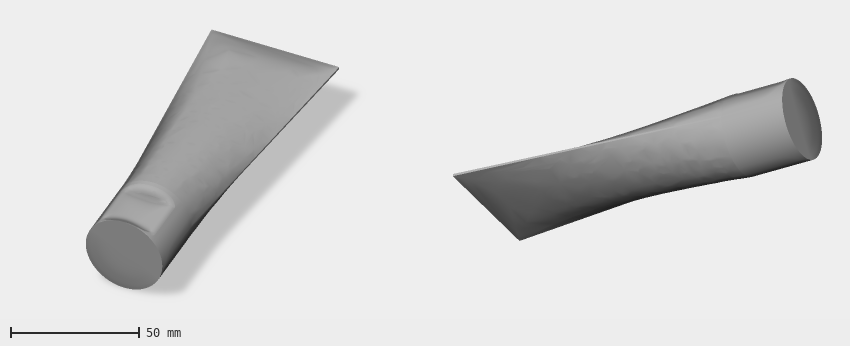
import cadquery as cq
import math

cap_diameter = 33.0
cap_radius = cap_diameter / 2
cap_length = 27.0

overall_length = 140.0
crimp_width = 55.0
crimp_thickness = 1.0
seam_thickness_at_cap = 0.6

recess_depth = 4.0
recess_floor_z = cap_radius - recess_depth
outer_wall_y = 2.0
inner_wall_y = 22.0
inner_wall_bulge = 1.2
inner_wall_half_chord = 10.0
floor_fillet = 2.0
rim_fillet = 3.0

trim_allowance = 10.0

on_surface_tolerance = 0.001


def make_recess_cutter():
    """Cutter with a flat outer wall, a bulging inner wall and filleted floor edges."""
    half_width = cap_radius + rim_fillet
    wall_radius = (inner_wall_half_chord**2 + inner_wall_bulge**2) / (2 * inner_wall_bulge)
    wall_centre_y = inner_wall_y + wall_radius
    side_y = wall_centre_y - math.sqrt(wall_radius**2 - half_width**2)
    cutter = (
        cq.Workplane("XY", origin=(0, 0, recess_floor_z))
        .moveTo(-half_width, outer_wall_y)
        .lineTo(half_width, outer_wall_y)
        .lineTo(half_width, side_y)
        .threePointArc((0, inner_wall_y), (-half_width, side_y))
        .close()
        .extrude(2 * recess_depth)
    )
    cutter = cutter.faces("<Z").edges("<Y").fillet(floor_fillet)
    return cutter.faces("<Z").edges("%CIRCLE").fillet(floor_fillet)


def lies_on_cap_surface(edge):
    points = edge.positions([0, 0.3, 0.5, 0.8])
    return all(abs(math.hypot(p.x, p.z) - cap_radius) < on_surface_tolerance for p in points)


def make_cap():
    blank_length = cap_length + 2 * trim_allowance
    blank = (
        cq.Workplane("XZ", origin=(0, -trim_allowance, 0))
        .circle(cap_radius)
        .extrude(-blank_length)
        .cut(make_recess_cutter())
    )

    rim_edges = [
        edge
        for edge in blank.edges().vals()
        if lies_on_cap_surface(edge)
        and edge.Center().z > 0
        and 0 < edge.Center().y < cap_length
    ]
    rounded = blank.newObject(rim_edges).fillet(rim_fillet)

    trim_width = 2 * cap_diameter
    trim_block = cq.Workplane("XY").box(trim_width, cap_length, trim_width, centered=(True, False, True))
    return rounded.intersect(trim_block)


def make_tube():
    """Ruled loft from four arcs of the cap circle to the four sides of the crimp."""
    seam_z = seam_thickness_at_cap / 2
    seam_x = math.sqrt(cap_radius**2 - seam_z**2)
    round_end = (
        cq.Workplane("XZ", origin=(0, cap_length, 0))
        .moveTo(-seam_x, seam_z)
        .threePointArc((0, cap_radius), (seam_x, seam_z))
        .threePointArc((cap_radius, 0), (seam_x, -seam_z))
        .threePointArc((0, -cap_radius), (-seam_x, -seam_z))
        .threePointArc((-cap_radius, 0), (-seam_x, seam_z))
        .close()
    )
    half_width = crimp_width / 2
    half_thickness = crimp_thickness / 2
    flat_end = (
        cq.Workplane("XZ", origin=(0, overall_length, 0))
        .moveTo(-half_width, half_thickness)
        .lineTo(half_width, half_thickness)
        .lineTo(half_width, -half_thickness)
        .lineTo(-half_width, -half_thickness)
        .close()
    )
    loft = cq.Solid.makeLoft([round_end.val(), flat_end.val()], True)
    return cq.Workplane(obj=loft)


result = make_cap().union(make_tube())